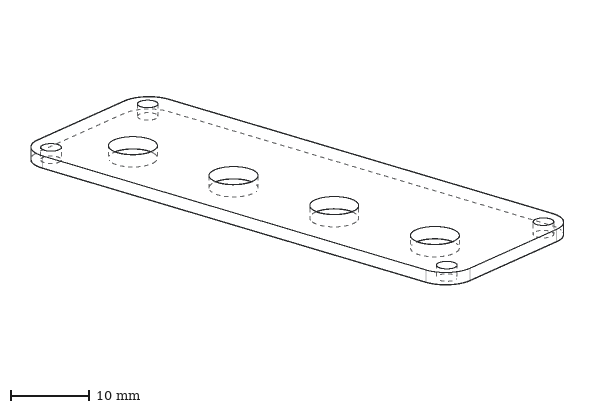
import cadquery as cq

length = 71.0
width = 25.5
thickness = 1.7
corner_radius = 4.0

mount_hole_diameter = 2.6
mount_hole_inset = 3.0

panel_hole_count = 4
panel_hole_diameter = 6.25
panel_hole_pitch = 16.55
panel_hole_row_y = -2.7


def make_plate():
    """Flat plate with rounded vertical corners, centred on the origin."""
    plate = cq.Workplane("XY").box(length, width, thickness)
    return plate.edges("|Z").fillet(corner_radius)


def drill_mount_holes(plate):
    """Through holes at an equal inset from both sides of each corner."""
    spacing_x = length - 2 * mount_hole_inset
    spacing_y = width - 2 * mount_hole_inset
    return (
        plate.faces(">Z").workplane()
        .rect(spacing_x, spacing_y, forConstruction=True)
        .vertices()
        .hole(mount_hole_diameter)
    )


def drill_panel_holes(plate):
    """Evenly pitched row of through holes parallel to X."""
    return (
        plate.faces(">Z").workplane(origin=(0, panel_hole_row_y, 0))
        .rarray(panel_hole_pitch, 0.7, panel_hole_count, 1)
        .hole(panel_hole_diameter)
    )


result = drill_panel_holes(drill_mount_holes(make_plate()))